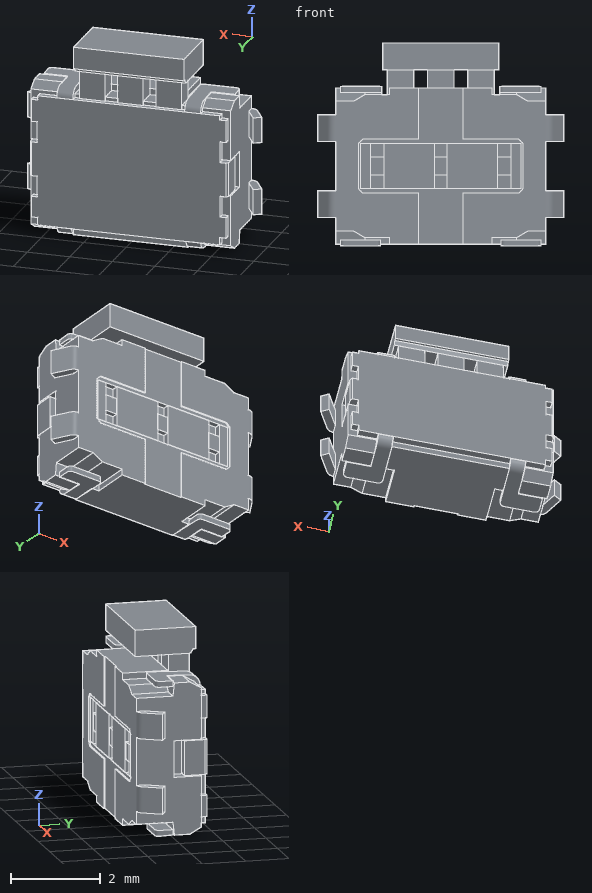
import cadquery as cq
import math


HALF_WIDTH = 2.35
HALF_HEIGHT = 1.75
HOUSING_DEPTH = 1.5
LEDGE_Z = 1.6
CORNER_Z = 1.45
STEP_HALF_WIDTH = 1.15
STEP_DEPTH = 1.04
RAMP_INNER_X = 1.69
RAMP_OUTER_X = 1.95
REAR_FACE_Y_LOW = 0.845
REAR_FACE_Y_HIGH = 0.88
REAR_CHAMFER_Y = 1.237

GROOVE_DEPTH = 0.03
GROOVE_STRIP_WIDTH = 1.0
GROOVE_FRAME_WIDTH = 3.68
GROOVE_FRAME_HEIGHT = 1.21
GROOVE_CORNER = 0.1
PANEL_WIDTH = 3.58
PANEL_HEIGHT = 1.01
PANEL_DEPTH = 0.035
PAD_DEPTH = 0.02
PAD_HALF_WIDTH = 1.27
WINDOW_WIDTH = 0.3
MIDDLE_WINDOW_WIDTH = 0.285
WINDOW_FLOOR_Y = 0.18
WINDOW_BAR_Y = 0.04
WINDOW_BAR_HEIGHT = 0.4

LEAD_THICKNESS = 0.2
LEAD_BEND = math.radians(60)
LEAD_TIP_X = 2.752
LEAD_WIDTH = 0.6
LEAD_Z = 0.85
LEAD_ROOT = 0.1

COVER_Y = 1.65
COVER_EDGE_X = 2.29
COVER_CORNER_X = 2.14
COVER_WAIST_X = 2.15
COVER_SHOULDER_Z = 0.89
COVER_TOP_Z = 1.51
COVER_TOP_CORNER_Z = 1.41
COVER_BOTTOM_Z = -1.56
COVER_BOTTOM_CORNER_Z = -1.38
ARM_BEND_RADIUS = 0.25
TOP_EAR_INNER_X = 1.315
BOTTOM_EAR_INNER_X = 1.345
EAR_OUTER_X = 2.245
EAR_TIP_Y = 0.483
EAR_TIP_Z = 1.785
EAR_THICKNESS = 0.14
EAR_CORNER_RADIUS = 0.1

TAB_X = 2.33
TAB_INNER_X = 2.05
TAB_HEIGHT = 0.8
TAB_END_Y = 1.12
TAB_EDGE_X = 0.04
TAB_EDGE_Y = 0.06
TAB_POCKET_HEIGHT = 0.84
TAB_POCKET_Y = 0.87

PLUNGER_WIDTH = 2.6
PLUNGER_TOP = 2.755
PLUNGER_BOTTOM = 2.15
PLUNGER_FRONT_Y = 0.25
STEM_WIDTH = 0.6
STEM_SPACING = 0.9
STEM_BACK_Y = 1.53
RELIEF_TOP_Z = 2.245
RELIEF_FLAT_Y = 1.59


def box(x_min, x_max, y_min, y_max, z_min, z_max):
    """Box given by its limits along each axis."""
    size = (x_max - x_min, y_max - y_min, z_max - z_min)
    return cq.Workplane("XY").box(*size, centered=False).translate((x_min, y_min, z_min))


def front_prism(points, y_min, y_max):
    """Outline of (x, z) points, extruded along Y."""
    outline = cq.Workplane("XZ", origin=(0, y_min, 0)).polyline(points).close()
    return outline.extrude(y_min - y_max)


def side_prism(points, x_min, x_max):
    """Outline of (y, z) points, extruded along X."""
    outline = cq.Workplane("YZ", origin=(x_min, 0, 0)).polyline(points).close()
    return outline.extrude(x_max - x_min)


def flip_z(shape):
    """Mirror image of the shape across z = 0."""
    return shape.mirror("XY")


def both_sides(shape):
    """The shape together with its mirror image across x = 0."""
    return shape.union(shape.mirror("YZ"))


def make_front_block():
    """Stepped front half of the housing, the same at its top and bottom edges."""
    half_edge = [
        (STEP_HALF_WIDTH, LEDGE_Z),
        (RAMP_INNER_X, LEDGE_Z),
        (RAMP_OUTER_X, CORNER_Z),
        (HALF_WIDTH, CORNER_Z),
    ]
    right_side = half_edge + [(x, -z) for x, z in reversed(half_edge)]
    left_side = [(-x, -z) for x, z in right_side]
    block = front_prism(right_side + left_side, 0, REAR_FACE_Y_HIGH)
    step = box(-STEP_HALF_WIDTH, STEP_HALF_WIDTH, 0, STEP_DEPTH, -HALF_HEIGHT, HALF_HEIGHT)
    return block.union(step)


def make_rear_block():
    """Rear half of the housing: a low middle, full-height sides and a bottom wall."""
    middle = box(-RAMP_INNER_X, RAMP_INNER_X, REAR_FACE_Y_LOW, HOUSING_DEPTH, -LEDGE_Z, LEDGE_Z)
    profile = [
        (REAR_FACE_Y_LOW, -CORNER_Z),
        (REAR_FACE_Y_HIGH, -HALF_HEIGHT),
        (REAR_CHAMFER_Y, -HALF_HEIGHT),
        (HOUSING_DEPTH, -LEDGE_Z),
        (HOUSING_DEPTH, LEDGE_Z),
        (REAR_CHAMFER_Y, HALF_HEIGHT),
        (REAR_FACE_Y_HIGH, HALF_HEIGHT),
        (REAR_FACE_Y_LOW, CORNER_Z),
    ]
    sides = both_sides(side_prism(profile, RAMP_INNER_X, HALF_WIDTH))
    bottom_wall = box(-BOTTOM_EAR_INNER_X, BOTTOM_EAR_INNER_X, REAR_FACE_Y_HIGH, HOUSING_DEPTH,
                      -HALF_HEIGHT, -LEDGE_Z)
    return middle.union(sides).union(bottom_wall)


def centred_block(width, height, y_min, y_max, x=0):
    """Block centred on z = 0 and on the given x."""
    return box(x - width / 2, x + width / 2, y_min, y_max, -height / 2, height / 2)


def cut_front_relief(housing):
    """Shallow cross-shaped groove with a panel, a raised pad and three barred windows."""
    strip = centred_block(GROOVE_STRIP_WIDTH, 2 * HALF_HEIGHT, 0, GROOVE_DEPTH)
    frame = centred_block(GROOVE_FRAME_WIDTH, GROOVE_FRAME_HEIGHT, 0, GROOVE_DEPTH)
    frame = frame.edges("|Y").chamfer(GROOVE_CORNER)
    panel = centred_block(PANEL_WIDTH, PANEL_HEIGHT, 0, PANEL_DEPTH)
    pad = centred_block(2 * PAD_HALF_WIDTH, PANEL_HEIGHT, PAD_DEPTH, PANEL_DEPTH)
    housing = housing.cut(strip).cut(frame).cut(panel).union(pad)

    side_window_x = PAD_HALF_WIDTH + WINDOW_WIDTH / 2
    windows = [
        (-side_window_x, WINDOW_WIDTH),
        (0, MIDDLE_WINDOW_WIDTH),
        (side_window_x, WINDOW_WIDTH),
    ]
    for x, width in windows:
        window = centred_block(width, PANEL_HEIGHT, 0, WINDOW_FLOOR_Y, x)
        bar = centred_block(width, WINDOW_BAR_HEIGHT, WINDOW_BAR_Y, WINDOW_FLOOR_Y, x)
        housing = housing.cut(window.cut(bar))
    return housing


def make_lead():
    """Right-hand terminal, bent up from the mounting face; its inner bend is sharp."""
    bend_x = HALF_WIDTH + LEAD_THICKNESS * math.sin(LEAD_BEND)
    bend_y = LEAD_THICKNESS * (1 - math.cos(LEAD_BEND))
    mid_x = HALF_WIDTH + LEAD_THICKNESS * math.sin(LEAD_BEND / 2)
    mid_y = LEAD_THICKNESS * (1 - math.cos(LEAD_BEND / 2))
    tip_y = bend_y + (LEAD_TIP_X - bend_x) * math.tan(LEAD_BEND)
    inner_tip_x = LEAD_TIP_X - LEAD_THICKNESS * math.sin(LEAD_BEND)
    inner_tip_y = tip_y + LEAD_THICKNESS * math.cos(LEAD_BEND)
    root_x = HALF_WIDTH - LEAD_ROOT
    return (
        cq.Workplane("XY")
        .moveTo(root_x, 0)
        .lineTo(HALF_WIDTH, 0)
        .threePointArc((mid_x, mid_y), (bend_x, bend_y))
        .lineTo(LEAD_TIP_X, tip_y)
        .lineTo(inner_tip_x, inner_tip_y)
        .lineTo(HALF_WIDTH, LEAD_THICKNESS)
        .lineTo(root_x, LEAD_THICKNESS)
        .close()
        .extrude(LEAD_WIDTH)
        .translate((0, 0, LEAD_Z - LEAD_WIDTH / 2))
    )


def make_cover_plate():
    """Flat back of the cover with notched corners and a waist behind the side tabs."""
    right_side = [
        (COVER_CORNER_X, COVER_TOP_Z),
        (COVER_CORNER_X, COVER_TOP_CORNER_Z),
        (COVER_EDGE_X, COVER_TOP_CORNER_Z),
        (COVER_EDGE_X, COVER_SHOULDER_Z),
        (COVER_WAIST_X, COVER_SHOULDER_Z),
        (COVER_WAIST_X, -COVER_SHOULDER_Z),
        (COVER_EDGE_X, -COVER_SHOULDER_Z),
        (COVER_EDGE_X, COVER_BOTTOM_CORNER_Z),
        (COVER_CORNER_X, COVER_BOTTOM_CORNER_Z),
        (COVER_CORNER_X, COVER_BOTTOM_Z),
    ]
    left_side = [(-x, z) for x, z in reversed(right_side)]
    return front_prism(right_side + left_side, HOUSING_DEPTH, COVER_Y)


def make_clip(inner_x):
    """Upper right clip: an arm bent over from the cover, ending in an outward ear."""
    bend_y = COVER_Y - ARM_BEND_RADIUS
    bend_z = HALF_HEIGHT - ARM_BEND_RADIUS
    bend_offset = ARM_BEND_RADIUS * math.sin(math.pi / 4)
    ear_bottom_z = EAR_TIP_Z - EAR_THICKNESS
    arm_root_z = CORNER_Z
    profile = (
        cq.Workplane("YZ", origin=(inner_x, 0, 0))
        .moveTo(EAR_TIP_Y, ear_bottom_z)
        .lineTo(EAR_TIP_Y, EAR_TIP_Z)
        .lineTo(bend_y, HALF_HEIGHT)
        .threePointArc((bend_y + bend_offset, bend_z + bend_offset), (COVER_Y, bend_z))
        .lineTo(COVER_Y, arm_root_z)
        .lineTo(REAR_FACE_Y_HIGH, arm_root_z)
        .lineTo(REAR_FACE_Y_HIGH, ear_bottom_z)
        .close()
    )
    clip = profile.extrude(EAR_OUTER_X - inner_x)
    beside_arm = box(RAMP_INNER_X, EAR_OUTER_X, REAR_FACE_Y_HIGH, COVER_Y, arm_root_z, EAR_TIP_Z)
    ear_tip = cq.selectors.BoxSelector(
        (0, EAR_TIP_Y - EAR_CORNER_RADIUS, 0),
        (HALF_WIDTH, EAR_TIP_Y + EAR_CORNER_RADIUS, HALF_HEIGHT + EAR_THICKNESS),
    )
    return clip.cut(beside_arm).edges("|Z").edges(ear_tip).fillet(EAR_CORNER_RADIUS)


def make_tab():
    """Right-hand side tab of the cover, seated in its housing pocket."""
    outline = [
        (TAB_INNER_X, TAB_END_Y),
        (TAB_X, TAB_END_Y),
        (TAB_X, COVER_Y - TAB_EDGE_Y),
        (TAB_X - TAB_EDGE_X, COVER_Y),
        (TAB_INNER_X, COVER_Y),
    ]
    tab = cq.Workplane("XY").polyline(outline).close().extrude(TAB_HEIGHT)
    return tab.translate((0, 0, -TAB_HEIGHT / 2))


def make_tab_pocket():
    """Space in the right side of the housing for the tab, open beyond its end."""
    half_height = TAB_POCKET_HEIGHT / 2
    return box(TAB_INNER_X, HALF_WIDTH, TAB_POCKET_Y, HOUSING_DEPTH, -half_height, half_height)


def make_plunger():
    """Plunger head on three stems."""
    profile = [
        (PLUNGER_FRONT_Y, PLUNGER_BOTTOM),
        (PLUNGER_FRONT_Y, PLUNGER_TOP),
        (COVER_Y, PLUNGER_TOP),
        (COVER_Y, RELIEF_TOP_Z),
        (RELIEF_FLAT_Y, RELIEF_TOP_Z),
        (STEM_BACK_Y, PLUNGER_BOTTOM),
    ]
    plunger = side_prism(profile, -PLUNGER_WIDTH / 2, PLUNGER_WIDTH / 2)
    for x in (-STEM_SPACING, 0, STEM_SPACING):
        stem = box(x - STEM_WIDTH / 2, x + STEM_WIDTH / 2, STEP_DEPTH, STEM_BACK_Y,
                   CORNER_Z, PLUNGER_BOTTOM)
        plunger = plunger.union(stem)
    return plunger


housing = make_front_block().union(make_rear_block())
housing = cut_front_relief(housing).cut(both_sides(make_tab_pocket()))

upper_lead = make_lead()
leads = both_sides(upper_lead.union(flip_z(upper_lead)))

clips = both_sides(make_clip(TOP_EAR_INNER_X).union(flip_z(make_clip(BOTTOM_EAR_INNER_X))))
cover = make_cover_plate().union(clips).union(both_sides(make_tab()))

result = housing.union(leads).union(cover).union(make_plunger())